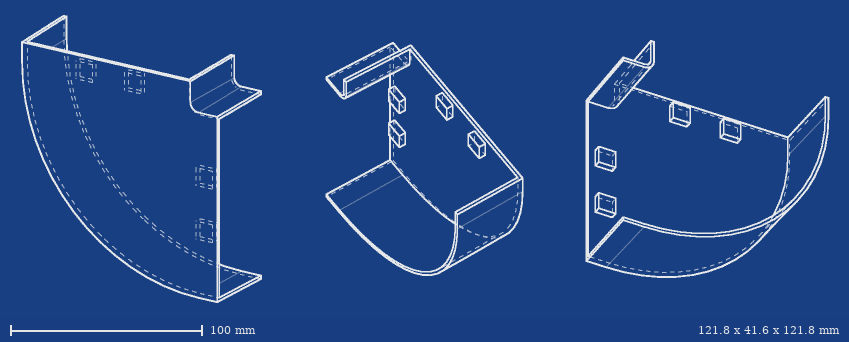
import cadquery as cq
import math

side = 121.8
depth = 41.6
draft_angle = 1.0
wall = 2.0
straight_run = 12.2
notch = 16.4
notch_fillet = 4.1

pad_width = 10.0
pad_length = 10.0
pad_height = 3.8
pad_spacing = 30.0
pad_setback = 5.0

half = side / 2
rim_y = depth / 2
plate_inner_y = -depth / 2 + wall


def outline(inset, overrun):
    """Rim-plane elbow outline, with walls moved in by inset and open ends moved out by overrun."""
    outer = -half + inset
    end = half + overrun
    arc_centre = half - straight_run
    arc_radius = arc_centre - outer
    arc_middle = arc_centre - arc_radius * math.sqrt(0.5)

    corner = half - notch - inset
    fillet = notch_fillet + inset
    fillet_end = corner + fillet
    fillet_middle = fillet_end - fillet * math.sqrt(0.5)

    return (
        cq.Workplane("XZ", origin=(0, rim_y, 0))
        .moveTo(outer, end)
        .lineTo(outer, arc_centre)
        .threePointArc((arc_middle, arc_middle), (arc_centre, outer))
        .lineTo(end, outer)
        .lineTo(end, corner)
        .lineTo(fillet_end, corner)
        .threePointArc((fillet_middle, fillet_middle), (corner, fillet_end))
        .lineTo(corner, end)
        .close()
    )


def pad(centre_x, centre_z, size_x, size_z):
    """Block rising from the inner face of the plate, rooted in the plate."""
    root = wall / 2
    return cq.Workplane("XY").box(size_x, pad_height + root, size_z).translate(
        (centre_x, plate_inner_y + (pad_height - root) / 2, centre_z)
    )


body = outline(0, 0).extrude(depth, taper=draft_angle)
cavity = outline(wall, 2 * wall).extrude(depth - wall, taper=draft_angle)
result = body.cut(cavity)

opening_centre = -notch / 2
pad_from_origin = half - pad_setback - pad_length / 2
for offset in (-pad_spacing / 2, pad_spacing / 2):
    across = opening_centre + offset
    result = result.union(pad(across, pad_from_origin, pad_width, pad_length))
    result = result.union(pad(pad_from_origin, across, pad_length, pad_width))